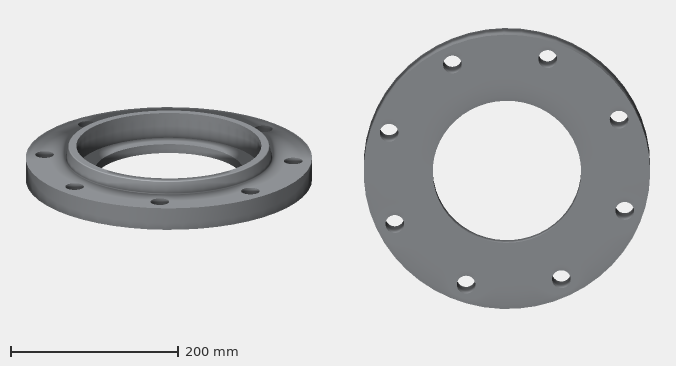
import cadquery as cq

flange_diameter = 342.8
flange_thickness = 27.5

overall_height = 43.0
hub_base_diameter = 246.8
hub_top_diameter = 240.5
rim_radius = 1.5
foot_radius = 1.5

through_bore_diameter = 177.5
counterbore_diameter = 221.5
counterbore_floor_height = 11.3

bolt_hole_count = 8
bolt_circle_diameter = 298.2
bolt_hole_diameter = 22.3


def make_flange_body():
    """Solid plate carrying the conical hub, revolved about Z."""
    flange_radius = flange_diameter / 2
    profile = (
        cq.Workplane("XZ")
        .moveTo(0, 0)
        .lineTo(flange_radius, 0)
        .lineTo(flange_radius, flange_thickness)
        .lineTo(hub_base_diameter / 2, flange_thickness)
        .lineTo(hub_top_diameter / 2, overall_height)
        .lineTo(0, overall_height)
        .close()
    )
    body = profile.revolve(360, (0, 0, 0), (0, 1, 0))
    body = body.faces(">Z").edges().fillet(rim_radius)
    hub_foot = cq.selectors.RadiusNthSelector(-2)
    return body.edges(hub_foot).fillet(foot_radius)


def cut_stepped_bore(body):
    """Through bore, widened from the hub end down to a flat ledge."""
    through_bore = cq.Workplane("XY").circle(through_bore_diameter / 2).extrude(overall_height)
    counterbore = (
        cq.Workplane("XY")
        .workplane(offset=counterbore_floor_height)
        .circle(counterbore_diameter / 2)
        .extrude(overall_height - counterbore_floor_height)
    )
    return body.cut(through_bore).cut(counterbore)


def cut_bolt_holes(body):
    """Evenly spaced through holes, the first one on the +X axis."""
    bolt_holes = (
        cq.Workplane("XY")
        .polarArray(bolt_circle_diameter / 2, 0, 360, bolt_hole_count)
        .circle(bolt_hole_diameter / 2)
        .extrude(flange_thickness)
    )
    return body.cut(bolt_holes)


result = cut_bolt_holes(cut_stepped_bore(make_flange_body()))